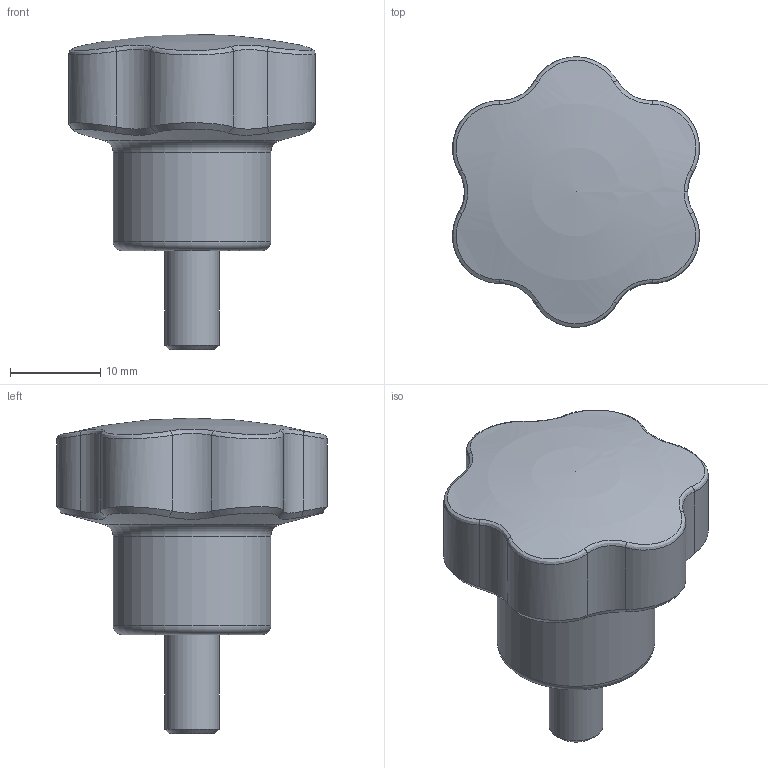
import cadquery as cq
import math

lobe_count = 6
lobe_pitch = 360 / lobe_count
tip_radius = 15.0
lobe_radius = 5.3
lobe_offset = tip_radius - lobe_radius
valley_radius = lobe_offset - lobe_radius
valley_offset = 2 * lobe_offset * math.cos(math.radians(lobe_pitch / 2))
first_lobe_angle = 90.0

top_height = 24.0
dome_radius = 60.0
top_rounding = 0.5
underside_slope = 15.0
underside_bevel = 0.55
blank_margin = 1.0

hub_radius = 17.5 / 2
hub_height = 10.88
hub_rounding = 1.0
neck_rounding = 1.4
hub_overlap = 1.0

stud_radius = 6.0 / 2
stud_length = 11.0
stud_chamfer = 0.5


def polar(radius, degrees):
    """Cartesian coordinates of a point given by radius and angle."""
    angle = math.radians(degrees)
    return radius * math.cos(angle), radius * math.sin(angle)


def star_outline():
    """Tangent chain of convex lobes and concave valleys."""
    joint_x = lobe_offset + lobe_radius * math.cos(math.radians(lobe_pitch))
    joint_y = lobe_radius * math.sin(math.radians(lobe_pitch))
    joint_distance = math.hypot(joint_x, joint_y)
    joint_angle = math.degrees(math.atan2(joint_y, joint_x))

    outline = cq.Workplane("XY").moveTo(*polar(joint_distance, first_lobe_angle - joint_angle))
    for i in range(lobe_count):
        lobe_angle = first_lobe_angle + i * lobe_pitch
        valley_angle = lobe_angle + lobe_pitch / 2
        outline = outline.threePointArc(
            polar(tip_radius, lobe_angle),
            polar(joint_distance, lobe_angle + joint_angle),
        )
        outline = outline.threePointArc(
            polar(valley_offset - valley_radius, valley_angle),
            polar(joint_distance, lobe_angle + lobe_pitch - joint_angle),
        )
    return outline.close()


def underside_start():
    """Radius and height where the neck rounding runs into the conical underside."""
    slope = math.radians(underside_slope)
    radius = hub_radius + neck_rounding * (1 - math.sin(slope))
    height = hub_height + neck_rounding * math.cos(slope)
    return radius, height


def dome_height(radius):
    """Height of the spherical top at a given distance from the axis."""
    return top_height - dome_radius + math.sqrt(dome_radius**2 - radius**2)


def grip():
    """Star prism trimmed by the dome above and the cone below, with its rims eased."""
    blank_radius = tip_radius + blank_margin
    inner_radius, inner_height = underside_start()
    slope = math.tan(math.radians(underside_slope))
    axis_height = inner_height - inner_radius * slope
    rim_height = axis_height + blank_radius * slope

    envelope = (
        cq.Workplane("XZ")
        .moveTo(0, axis_height)
        .lineTo(blank_radius, rim_height)
        .lineTo(blank_radius, dome_height(blank_radius))
        .threePointArc((blank_radius / 2, dome_height(blank_radius / 2)), (0, top_height))
        .close()
        .revolve(360, (0, 0), (0, 1))
    )
    star = star_outline().extrude(top_height).intersect(envelope)
    star = star.faces(">Z").edges().fillet(top_rounding)
    return star.faces("<Z").edges().chamfer(underside_bevel)


def hub():
    """Round hub with a rounded foot and a concave neck that meets the underside tangentially."""
    neck_radius, neck_height = underside_start()
    mid_angle = math.radians(180 - (90 - underside_slope) / 2)
    neck_centre = hub_radius + neck_rounding
    neck_middle = (
        neck_centre + neck_rounding * math.cos(mid_angle),
        hub_height + neck_rounding * math.sin(mid_angle),
    )
    core_height = neck_height + hub_overlap
    foot_shift = hub_rounding * math.sqrt(0.5)
    return (
        cq.Workplane("XZ")
        .moveTo(0, 0)
        .lineTo(hub_radius - hub_rounding, 0)
        .threePointArc(
            (hub_radius - hub_rounding + foot_shift, hub_rounding - foot_shift),
            (hub_radius, hub_rounding),
        )
        .lineTo(hub_radius, hub_height)
        .threePointArc(neck_middle, (neck_radius, neck_height))
        .lineTo(neck_radius, core_height)
        .lineTo(0, core_height)
        .close()
        .revolve(360, (0, 0), (0, 1))
    )


def stud():
    """Plain stud below the hub with a chamfered end."""
    return (
        cq.Workplane("XY")
        .circle(stud_radius)
        .extrude(-stud_length)
        .faces("<Z")
        .chamfer(stud_chamfer)
    )


result = grip().union(hub()).union(stud())